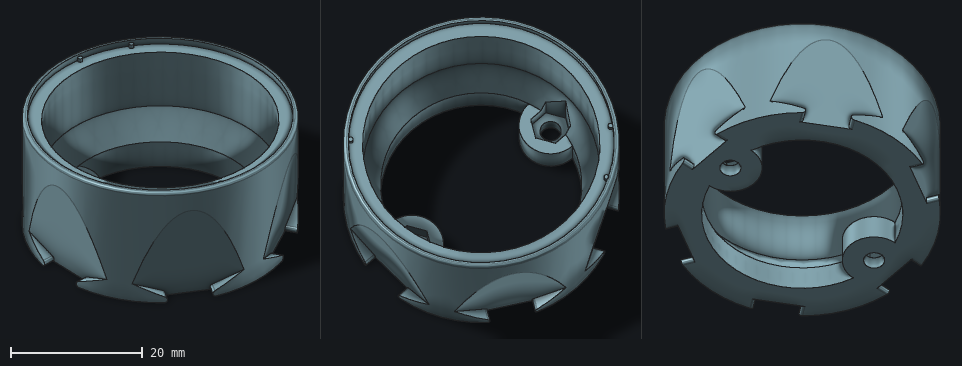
import cadquery as cq
import math

outer_radius = 21.0
height = 20.35
rim_round = 0.5

seat_radius = 40.4 / 2
seat_depth = 1.05
bore_radius = 36.1 / 2
throat_radius = 15.3
throat_height = 4.6
cone_half_angle = 30.0
cone_height = (bore_radius - throat_radius) / math.tan(math.radians(cone_half_angle))
seat_z = height - seat_depth

boss_offset = 14.5
boss_radius = 4.85
screw_hole_diameter = 3.2
nut_across_flats = 5.45
nut_corner_diameter = nut_across_flats / math.cos(math.radians(30))
nut_floor_z = 2.3

pin_radius = 0.38
pin_center_radius = 19.85
pin_height = 0.65
pin_angles = (120.0, 145.0, -45.0)

flat_count = 6
flat_top_z = 16.7
flat_tilt = 8.0
ledge_z = 3.25
slot_half_width = 3.53
lip_round = 0.55
tilt_slope = math.tan(math.radians(flat_tilt))
flat_base_radius = outer_radius - flat_top_z * tilt_slope
ledge_flat_radius = flat_base_radius + ledge_z * tilt_slope
ledge_half_width = math.sqrt(outer_radius**2 - ledge_flat_radius**2)
cut_margin = 2.1
wedge_top_radius = flat_base_radius + height * tilt_slope
wedge_outer_radius = wedge_top_radius + cut_margin


def make_ring():
    """Rounded outer cylinder with the stepped and conical bore."""
    body = cq.Workplane("XY").circle(outer_radius).extrude(height)
    body = body.faces(">Z").edges().fillet(rim_round)
    bore = (
        cq.Workplane("XZ")
        .moveTo(0, 0)
        .lineTo(throat_radius, 0)
        .lineTo(throat_radius, throat_height)
        .lineTo(bore_radius, throat_height + cone_height)
        .lineTo(bore_radius, seat_z)
        .lineTo(seat_radius, seat_z)
        .lineTo(seat_radius, height)
        .lineTo(0, height)
        .close()
        .revolve(360, (0, 0, 0), (0, 1, 0))
    )
    return body.cut(bore)


def make_flat_cutter():
    """Wedge outside one flat, narrowing to a round-lipped slot at the base."""
    wedge = (
        cq.Workplane("XZ")
        .moveTo(flat_base_radius, 0)
        .lineTo(wedge_top_radius, height)
        .lineTo(wedge_outer_radius, height)
        .lineTo(wedge_outer_radius, 0)
        .close()
        .extrude(outer_radius, both=True)
    )
    lip_center_y = slot_half_width + lip_round
    run = ledge_half_width - lip_center_y
    rise = ledge_z - lip_round
    ledge_angle = math.atan2(rise, run) - math.asin(lip_round / math.hypot(run, rise))
    lip_top_y = lip_center_y - lip_round * math.sin(ledge_angle)
    lip_top_z = lip_round + lip_round * math.cos(ledge_angle)
    window = (
        cq.Workplane("YZ")
        .moveTo(-lip_center_y, 0)
        .lineTo(lip_center_y, 0)
        .threePointArc((slot_half_width, lip_round), (lip_top_y, lip_top_z))
        .lineTo(ledge_half_width, ledge_z)
        .lineTo(ledge_half_width, height)
        .lineTo(-ledge_half_width, height)
        .lineTo(-ledge_half_width, ledge_z)
        .lineTo(-lip_top_y, lip_top_z)
        .threePointArc((-slot_half_width, lip_round), (-lip_center_y, 0))
        .close()
        .extrude(wedge_outer_radius)
    )
    return wedge.intersect(window)


boss_centers = [(-boss_offset, 0), (boss_offset, 0)]
pin_centers = [
    (
        pin_center_radius * math.cos(math.radians(angle)),
        pin_center_radius * math.sin(math.radians(angle)),
    )
    for angle in pin_angles
]

result = make_ring()

bosses = cq.Workplane("XY").pushPoints(boss_centers).circle(boss_radius).extrude(throat_height)
result = result.union(bosses)

nut_pockets = (
    cq.Workplane("XY")
    .workplane(offset=nut_floor_z)
    .pushPoints(boss_centers)
    .polygon(6, nut_corner_diameter)
    .extrude(seat_z - nut_floor_z)
)
screw_holes = (
    cq.Workplane("XY").pushPoints(boss_centers).circle(screw_hole_diameter / 2).extrude(height)
)
result = result.cut(nut_pockets).cut(screw_holes)

pins = (
    cq.Workplane("XY")
    .workplane(offset=seat_z)
    .pushPoints(pin_centers)
    .circle(pin_radius)
    .extrude(pin_height)
)
result = result.union(pins)

flat_cutter = make_flat_cutter()
for index in range(flat_count):
    result = result.cut(flat_cutter.rotate((0, 0, 0), (0, 0, 1), index * 360 / flat_count))